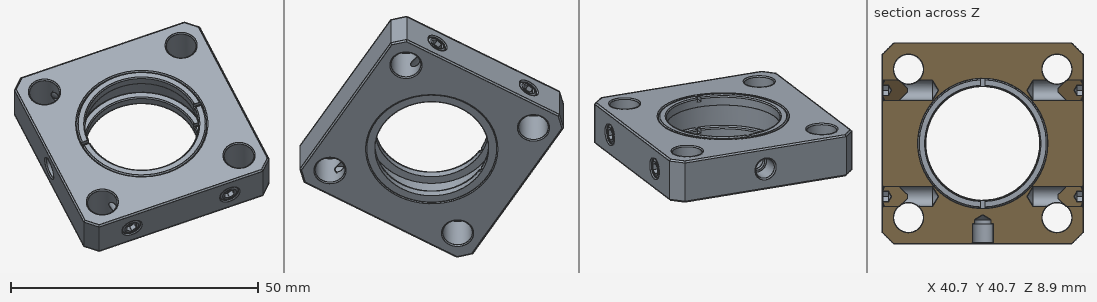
import cadquery as cq
import math

PLATE_SIDE = 40.65
PLATE_THICKNESS = 8.9
CORNER_CUT = 2.35
EDGE_CHAMFER = 0.33

BORE_RADIUS = 13.13
BORE_CHAMFER = 0.25
RING_INNER_RADIUS = 11.5
RING_INNER_CHAMFER = 0.25
RING_THICKNESS = 1.95
RING_OUTER_CHAMFER = 0.3
RING_SLOT_WIDTH = 0.8
RING_SLOT_DEPTH = 0.85
LOWER_RING_TOP = -2.35

ROD_HOLE_OFFSET = 15.0
ROD_HOLE_RADIUS = 3.0
ROD_HOLE_CHAMFER = 0.25

DRILL_TIP_ANGLE = 118.0

MOUNT_RADIUS = 2.07
MOUNT_CHAMFER = 0.3
MOUNT_THREAD_DEPTH = 4.05
PILOT_RADIUS = 1.65
PILOT_DEPTH = 4.88

SCREW_OFFSET = 10.73
SCREW_RADIUS = 2.0
SCREW_RIM_WIDTH = 0.5
SCREW_RIM_DEPTH = 0.3
SCREW_TIP_CHAMFER = 1.63
SCREW_LENGTH = 5.0
SCREW_RECESS = 0.15
SCREW_HOLE_DEPTH = 10.15
SCREW_MOUTH_CHAMFER = 0.25
SOCKET_SIDES = 6
SOCKET_ACROSS_FLATS = 2.05
SOCKET_TIP_RADIUS = 0.95
SOCKET_DEPTH = 1.15

HALF_SIDE = PLATE_SIDE / 2
PLATE_TOP = PLATE_THICKNESS / 2


def cone_height(radius):
    """Height of the conical end that a drill of this radius leaves."""
    return radius / math.tan(math.radians(DRILL_TIP_ANGLE / 2))


def revolve_profile(points):
    """Revolve (radius, height) points about the Z axis."""
    return cq.Workplane("XZ").polyline(points).close().revolve(360, (0, 0), (0, 1))


def chamfered_through_hole(radius, chamfer):
    """Cutter along Z for a plate hole chamfered at both ends."""
    return revolve_profile([
        (0, -PLATE_TOP),
        (radius + chamfer, -PLATE_TOP),
        (radius, -PLATE_TOP + chamfer),
        (radius, PLATE_TOP - chamfer),
        (radius + chamfer, PLATE_TOP),
        (0, PLATE_TOP),
    ])


def blind_hole(steps, chamfer):
    """Cutter for a drilled hole that goes down from Z = 0, in (radius, depth) steps."""
    mouth_radius = steps[0][0]
    points = [(0, 0), (mouth_radius + chamfer, 0), (mouth_radius, -chamfer)]
    for radius, depth in steps:
        if radius != mouth_radius:
            points.append((radius, points[-1][1]))
        points.append((radius, -depth))
    end_radius, end_depth = steps[-1]
    points.append((0, -end_depth - cone_height(end_radius)))
    return revolve_profile(points)


def on_screw_seats(shape):
    """Copies of a shape built down from Z = 0, one at each set screw seat."""
    facing_plus_x = shape.rotate((0, 0, 0), (0, 1, 0), 90)
    seats = []
    for turn in (0, 180):
        for side in (-1, 1):
            seat = facing_plus_x.translate((HALF_SIDE, side * SCREW_OFFSET, 0))
            seats.append(seat.rotate((0, 0, 0), (0, 0, 1), turn))
    return seats


def make_plate():
    """Square plate with the bore, the rod holes, the mounting hole and the set screw holes."""
    plate = (
        cq.Workplane("XY")
        .box(PLATE_SIDE, PLATE_SIDE, PLATE_THICKNESS)
        .edges("|Z")
        .chamfer(CORNER_CUT)
        .faces("<Z or >Z")
        .edges()
        .chamfer(EDGE_CHAMFER)
    )
    plate = plate.cut(chamfered_through_hole(BORE_RADIUS, BORE_CHAMFER))

    rod_hole = chamfered_through_hole(ROD_HOLE_RADIUS, ROD_HOLE_CHAMFER)
    for x in (-ROD_HOLE_OFFSET, ROD_HOLE_OFFSET):
        for y in (-ROD_HOLE_OFFSET, ROD_HOLE_OFFSET):
            plate = plate.cut(rod_hole.translate((x, y, 0)))

    mount_hole = blind_hole(
        [(MOUNT_RADIUS, MOUNT_THREAD_DEPTH), (PILOT_RADIUS, PILOT_DEPTH)], MOUNT_CHAMFER
    )
    mount_hole = mount_hole.rotate((0, 0, 0), (1, 0, 0), 90)
    plate = plate.cut(mount_hole.translate((0, -HALF_SIDE, 0)))

    screw_hole = blind_hole([(SCREW_RADIUS, SCREW_HOLE_DEPTH)], SCREW_MOUTH_CHAMFER)
    for cutter in on_screw_seats(screw_hole):
        plate = plate.cut(cutter)
    return plate


def make_ring(top):
    """Retaining ring with a spanner slot across its upper face."""
    ring = revolve_profile([
        (RING_INNER_RADIUS, top - RING_THICKNESS),
        (BORE_RADIUS, top - RING_THICKNESS),
        (BORE_RADIUS, top - RING_OUTER_CHAMFER),
        (BORE_RADIUS - RING_OUTER_CHAMFER, top),
        (RING_INNER_RADIUS + RING_INNER_CHAMFER, top),
        (RING_INNER_RADIUS, top - RING_INNER_CHAMFER),
    ])
    slot = cq.Workplane("XY").box(
        RING_SLOT_WIDTH, 2 * BORE_RADIUS, RING_SLOT_DEPTH, centered=(True, True, False)
    )
    return ring.cut(slot.translate((0, 0, top - RING_SLOT_DEPTH)))


def make_set_screw():
    """Headless screw, chamfered at both ends, with a hexagonal socket in its top."""
    face = -SCREW_RECESS
    tip = face - SCREW_LENGTH
    screw = revolve_profile([
        (0, tip),
        (SCREW_RADIUS - SCREW_TIP_CHAMFER, tip),
        (SCREW_RADIUS, tip + SCREW_TIP_CHAMFER),
        (SCREW_RADIUS, face - SCREW_RIM_DEPTH),
        (SCREW_RADIUS - SCREW_RIM_WIDTH, face),
        (0, face),
    ])
    socket = (
        cq.Workplane("XY", origin=(0, 0, face))
        .polygon(SOCKET_SIDES, SOCKET_ACROSS_FLATS, circumscribed=True)
        .extrude(-SOCKET_DEPTH)
        .rotate((0, 0, 0), (0, 0, 1), 180 / SOCKET_SIDES)
    )
    socket_floor = face - SOCKET_DEPTH
    drill_end = revolve_profile([
        (0, socket_floor),
        (SOCKET_TIP_RADIUS, socket_floor),
        (0, socket_floor - cone_height(SOCKET_TIP_RADIUS)),
    ])
    return screw.cut(socket).cut(drill_end)


plate = make_plate()
rings = [make_ring(top) for top in (PLATE_TOP, LOWER_RING_TOP)]
set_screws = on_screw_seats(make_set_screw())

result = cq.Compound.makeCompound([
    plate.val(),
    *[ring.val() for ring in rings],
    *[screw.val() for screw in set_screws],
])